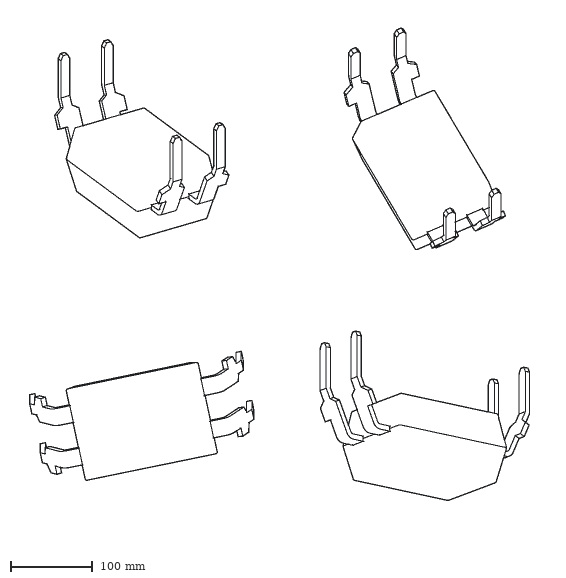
import cadquery as cq
import math

HOUSING_LENGTH = 165.3
HOUSING_WIDTH = 117.0
HALF_HEIGHT = 44.2
TOP_DRAFT = 10.0
BOTTOM_DRAFT = 12.0
EDGE_RADIUS = 2.6

LEAD_SPAN = 264.5
THICKNESS = 6.5
TIP_HEIGHT = 116.3
KNEE_HEIGHT = 57.5
LEG_ANGLE = 25.0
BEND_RADIUS = 4.8

ROOT_INNER = 16.5
PIN_INNER = 24.9
ROOT_OUTER = 37.8
SHOULDER_OUTER = 48.5

SHOULDER_BOTTOM = 25.0
NECK_BOTTOM = 49.7
SHOULDER_SLOPE = 33.0

TIP_CHAMFER_SIDE = 3.5
TIP_CHAMFER_HEIGHT = 6.0

LEG_RADIANS = math.radians(LEG_ANGLE)
LEG_TANGENT = math.tan(LEG_RADIANS)
OUTER_X = -LEAD_SPAN / 2
KNEE_SHIFT = THICKNESS * math.tan(LEG_RADIANS / 2)
HEEL_X = OUTER_X + (KNEE_HEIGHT + THICKNESS / 2) * LEG_TANGENT
HEEL_SHIFT = THICKNESS * math.tan((math.pi / 2 - LEG_RADIANS) / 2)
LEG_FOOT_X = OUTER_X + KNEE_HEIGHT * LEG_TANGENT


def make_half(height, draft):
    """One housing half with sharp edges, tapering away from the parting plane."""
    return cq.Workplane("XY").rect(HOUSING_LENGTH, HOUSING_WIDTH).extrude(height, taper=draft)


def make_housing():
    """Both halves joined, with every edge rounded except those on the parting plane."""
    body = make_half(HALF_HEIGHT, TOP_DRAFT).union(make_half(-HALF_HEIGHT, BOTTOM_DRAFT))
    for side in (1, -1):
        outside = cq.selectors.BoxSelector(
            (-LEAD_SPAN, -LEAD_SPAN, side * EDGE_RADIUS),
            (LEAD_SPAN, LEAD_SPAN, side * LEAD_SPAN),
        )
        body = body.edges(outside).fillet(EDGE_RADIUS)
    return body


def make_bent_strip():
    """Root, leg and pin at full shoulder width, from the middle of the housing outwards."""
    bottom = -THICKNESS / 2
    top = THICKNESS / 2
    strip = (
        cq.Workplane("XZ")
        .moveTo(0, bottom)
        .lineTo(HEEL_X, bottom)
        .lineTo(OUTER_X, KNEE_HEIGHT)
        .lineTo(OUTER_X, TIP_HEIGHT)
        .lineTo(OUTER_X + THICKNESS, TIP_HEIGHT)
        .lineTo(OUTER_X + THICKNESS, KNEE_HEIGHT + KNEE_SHIFT)
        .lineTo(HEEL_X + HEEL_SHIFT, top)
        .lineTo(0, top)
        .close()
        .extrude(-SHOULDER_OUTER)
    )
    bends = (
        (HEEL_X + HEEL_SHIFT, top, BEND_RADIUS),
        (HEEL_X, bottom, BEND_RADIUS + THICKNESS),
    )
    for x, z, radius in bends:
        corner = cq.selectors.NearestToPointSelector((x, SHOULDER_OUTER / 2, z))
        strip = strip.edges(corner).fillet(radius)
    return strip


def make_leg_outline():
    """Lead outline drawn in the plane of the leg, as a block that reaches past root and pin."""
    leg_plane = cq.Plane(
        origin=(LEG_FOOT_X, 0, 0),
        xDir=(0, 1, 0),
        normal=(math.cos(LEG_RADIANS), 0, math.sin(LEG_RADIANS)),
    )
    slope = math.tan(math.radians(SHOULDER_SLOPE))
    return (
        cq.Workplane(leg_plane)
        .moveTo(ROOT_INNER, -LEAD_SPAN)
        .lineTo(ROOT_INNER, NECK_BOTTOM - slope * (PIN_INNER - ROOT_INNER))
        .lineTo(PIN_INNER, NECK_BOTTOM)
        .lineTo(PIN_INNER, LEAD_SPAN)
        .lineTo(ROOT_OUTER, LEAD_SPAN)
        .lineTo(ROOT_OUTER, NECK_BOTTOM)
        .lineTo(SHOULDER_OUTER, NECK_BOTTOM - slope * (SHOULDER_OUTER - ROOT_OUTER))
        .lineTo(SHOULDER_OUTER, SHOULDER_BOTTOM)
        .lineTo(ROOT_OUTER, SHOULDER_BOTTOM)
        .lineTo(ROOT_OUTER, -LEAD_SPAN)
        .close()
        .extrude(LEAD_SPAN, both=True)
    )


def cut_tip_corners(lead):
    """Chamfer both corners of the pin's tip."""
    for edge_y, inward in ((PIN_INNER, 1), (ROOT_OUTER, -1)):
        corner = (
            cq.Workplane("YZ", origin=(OUTER_X, 0, 0))
            .moveTo(edge_y, TIP_HEIGHT)
            .lineTo(edge_y + inward * TIP_CHAMFER_SIDE, TIP_HEIGHT)
            .lineTo(edge_y, TIP_HEIGHT - TIP_CHAMFER_HEIGHT)
            .close()
            .extrude(THICKNESS)
        )
        lead = lead.cut(corner)
    return lead


def make_lead():
    """Lead on the +Y side: one strip through the housing with a pin at each end."""
    half = cut_tip_corners(make_bent_strip().intersect(make_leg_outline()))
    return half.union(half.mirror("YZ")).clean()


back_lead = make_lead()
leads = [back_lead, back_lead.mirror("XZ")]

housing = make_housing()
for lead in leads:
    housing = housing.cut(lead)

result = cq.Compound.makeCompound([housing.val(), *[lead.val() for lead in leads]])